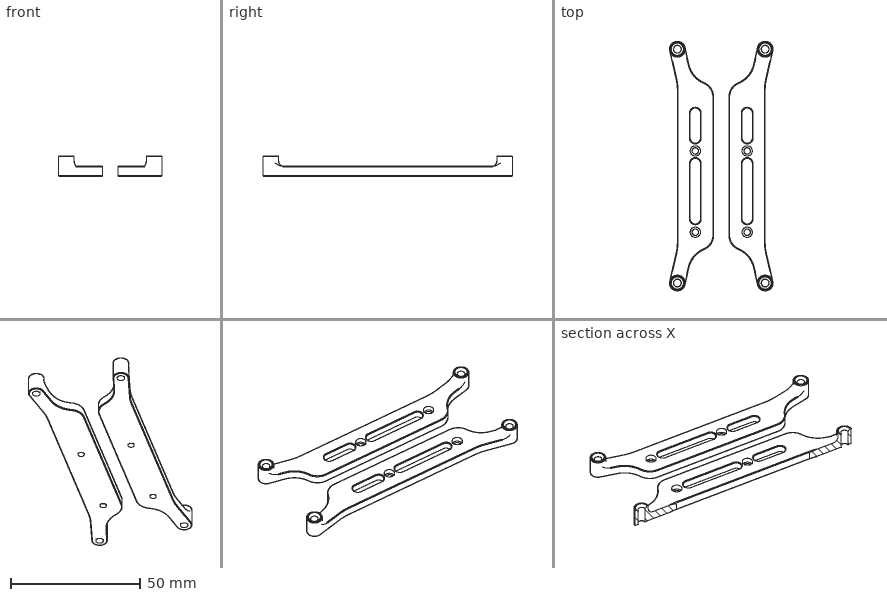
import cadquery as cq
import math

LENGTH = 96.6
WIDTH = 40.1
HEIGHT = 8.0

PLATE_THICKNESS = 4.0
GAP = 5.9
EDGE_BREAK = 0.3
SHOULDER_RADIUS = 6.0
SHOULDER_Y = 26.8
NECK_RADIUS = 10.0
ARM_ANGLE = math.radians(12.8)
ELBOW_RADIUS = 20.0

BOSS_DIAMETER = 6.1
BOSS_HOLE_DIAMETER = 2.9
BOSS_SEAT_DIAMETER = 4.7
BOSS_SEAT_DEPTH = 1.1
BOSS_BLEND_RADIUS = 2.0

HOLE_LINE_X = -10.0
HOLE_CENTRES_Y = (5.9, -25.6)
HOLE_DIAMETER = 2.4
COUNTERBORE_DIAMETER = 4.0
COUNTERBORE_DEPTH = 2.0
SLOT_WIDTH = 4.0
SLOT_DEPTH = 3.0
SLOT_SPANS_Y = ((8.9, 22.5), (-22.4, 3.0))

DIAGONAL_ANGLE = math.radians(225)

boss_radius = BOSS_DIAMETER / 2
boss_x = -WIDTH / 2 + boss_radius
boss_y = LENGTH / 2 - boss_radius
inner_x = -GAP / 2


def polar(centre, radius, angle):
    """Point on a circle at an angle measured from +X."""
    return (centre[0] + radius * math.cos(angle), centre[1] + radius * math.sin(angle))


def mirror_y(point):
    return (point[0], -point[1])


def bracket_outline():
    """Plan outline, symmetric about the X axis, with tangent lines and arcs."""
    boss = (boss_x, boss_y)
    arm_inner = polar(boss, boss_radius, ARM_ANGLE)
    arm_outer = polar(boss, boss_radius, math.pi + ARM_ANGLE)
    boss_tip = polar(boss, boss_radius, math.pi / 2)

    elbow_tangent = ELBOW_RADIUS * math.tan(ARM_ANGLE / 2)
    outer_x = boss_x
    corner_y = arm_outer[1] - (outer_x - arm_outer[0]) / math.tan(ARM_ANGLE)
    elbow_centre = (outer_x - ELBOW_RADIUS, corner_y - elbow_tangent)
    elbow_low = polar(elbow_centre, ELBOW_RADIUS, 0)
    elbow_mid = polar(elbow_centre, ELBOW_RADIUS, ARM_ANGLE / 2)
    elbow_high = polar(elbow_centre, ELBOW_RADIUS, ARM_ANGLE)

    shoulder_centre = (inner_x - SHOULDER_RADIUS, SHOULDER_Y)
    across = (math.cos(ARM_ANGLE), math.sin(ARM_ANGLE))
    along = (-across[1], across[0])
    shoulder_offset = (
        (shoulder_centre[0] - arm_inner[0]) * across[0] + (shoulder_centre[1] - arm_inner[1]) * across[1]
    )
    shift_across = NECK_RADIUS - shoulder_offset
    shift_along = math.sqrt((SHOULDER_RADIUS + NECK_RADIUS) ** 2 - shift_across**2)
    neck_centre = (
        shoulder_centre[0] + shift_across * across[0] + shift_along * along[0],
        shoulder_centre[1] + shift_across * across[1] + shift_along * along[1],
    )
    join_angle = math.atan2(neck_centre[1] - shoulder_centre[1], neck_centre[0] - shoulder_centre[0])
    shoulder_start = (inner_x, SHOULDER_Y)
    shoulder_mid = polar(shoulder_centre, SHOULDER_RADIUS, join_angle / 2)
    shoulder_end = polar(shoulder_centre, SHOULDER_RADIUS, join_angle)
    neck_end_angle = math.pi + ARM_ANGLE
    neck_mid = polar(neck_centre, NECK_RADIUS, (join_angle + math.pi + neck_end_angle) / 2)
    neck_end = polar(neck_centre, NECK_RADIUS, neck_end_angle)

    return (
        cq.Workplane("XY")
        .moveTo(*mirror_y(shoulder_start))
        .lineTo(*shoulder_start)
        .threePointArc(shoulder_mid, shoulder_end)
        .threePointArc(neck_mid, neck_end)
        .lineTo(*arm_inner)
        .threePointArc(boss_tip, arm_outer)
        .lineTo(*elbow_high)
        .threePointArc(elbow_mid, elbow_low)
        .lineTo(*mirror_y(elbow_low))
        .threePointArc(mirror_y(elbow_mid), mirror_y(elbow_high))
        .lineTo(*mirror_y(arm_outer))
        .threePointArc(mirror_y(boss_tip), mirror_y(arm_inner))
        .lineTo(*mirror_y(neck_end))
        .threePointArc(mirror_y(neck_mid), mirror_y(shoulder_end))
        .threePointArc(mirror_y(shoulder_mid), mirror_y(shoulder_start))
        .close()
    )


def boss_with_blend(y):
    """Boss whose foot flares along the arm, down to the plate, in a concave quarter round."""
    blend_foot = boss_radius + BOSS_BLEND_RADIUS
    blend_top = PLATE_THICKNESS + BOSS_BLEND_RADIUS
    arc_mid = polar((blend_foot, blend_top), BOSS_BLEND_RADIUS, DIAGONAL_ANGLE)
    clearance = (
        cq.Workplane("XZ")
        .moveTo(boss_radius, HEIGHT)
        .lineTo(boss_radius, blend_top)
        .threePointArc(arc_mid, (blend_foot, PLATE_THICKNESS))
        .lineTo(LENGTH, PLATE_THICKNESS)
        .lineTo(LENGTH, HEIGHT)
        .close()
        .revolve(360, (0, 0, 0), (0, 1, 0))
        .translate((boss_x, y, 0))
    )
    reach = cq.Workplane("XY").circle(blend_foot).extrude(HEIGHT).translate((boss_x, y, 0))
    return bracket_outline().extrude(HEIGHT).cut(clearance).intersect(reach)


def boss_hole(y):
    """Through hole opening upward into a conical seat."""
    hole = cq.Workplane("XY").circle(BOSS_HOLE_DIAMETER / 2).extrude(HEIGHT)
    seat = (
        cq.Workplane("XY", origin=(0, 0, HEIGHT - BOSS_SEAT_DEPTH))
        .circle(BOSS_HOLE_DIAMETER / 2)
        .workplane(offset=BOSS_SEAT_DEPTH)
        .circle(BOSS_SEAT_DIAMETER / 2)
        .loft()
    )
    return hole.union(seat).translate((boss_x, y, 0))


def counterbored_hole(y):
    """Through hole with a deep counterbore from the plate's top."""
    hole = cq.Workplane("XY").circle(HOLE_DIAMETER / 2).extrude(PLATE_THICKNESS)
    counterbore = (
        cq.Workplane("XY", origin=(0, 0, PLATE_THICKNESS - COUNTERBORE_DEPTH))
        .circle(COUNTERBORE_DIAMETER / 2)
        .extrude(COUNTERBORE_DEPTH)
    )
    return hole.union(counterbore).translate((HOLE_LINE_X, y, 0))


def with_slot(body, y_start, y_end):
    """Blind round-ended slot with a chamfered rim."""
    slot = (
        cq.Workplane("XY", origin=(HOLE_LINE_X, (y_start + y_end) / 2, PLATE_THICKNESS - SLOT_DEPTH))
        .slot2D(y_end - y_start, SLOT_WIDTH, 90)
        .extrude(SLOT_DEPTH)
    )
    rim_zone = cq.selectors.BoxSelector(
        (HOLE_LINE_X - SLOT_WIDTH, y_start - EDGE_BREAK, PLATE_THICKNESS - EDGE_BREAK),
        (HOLE_LINE_X + SLOT_WIDTH, y_end + EDGE_BREAK, PLATE_THICKNESS + EDGE_BREAK),
    )
    return body.cut(slot).edges(rim_zone).chamfer(EDGE_BREAK)


def left_bracket():
    body = bracket_outline().extrude(PLATE_THICKNESS).faces(">Z").edges().chamfer(EDGE_BREAK)
    for y in (boss_y, -boss_y):
        body = body.union(boss_with_blend(y))
    body = body.faces("<Z or >Z").edges().chamfer(EDGE_BREAK)

    for y in (boss_y, -boss_y):
        body = body.cut(boss_hole(y))
    for y in HOLE_CENTRES_Y:
        body = body.cut(counterbored_hole(y))
    for y_start, y_end in SLOT_SPANS_Y:
        body = with_slot(body, y_start, y_end)
    return body


bracket_left = left_bracket()
bracket_right = bracket_left.mirror("YZ")

result = cq.Compound.makeCompound([bracket_left.val(), bracket_right.val()])